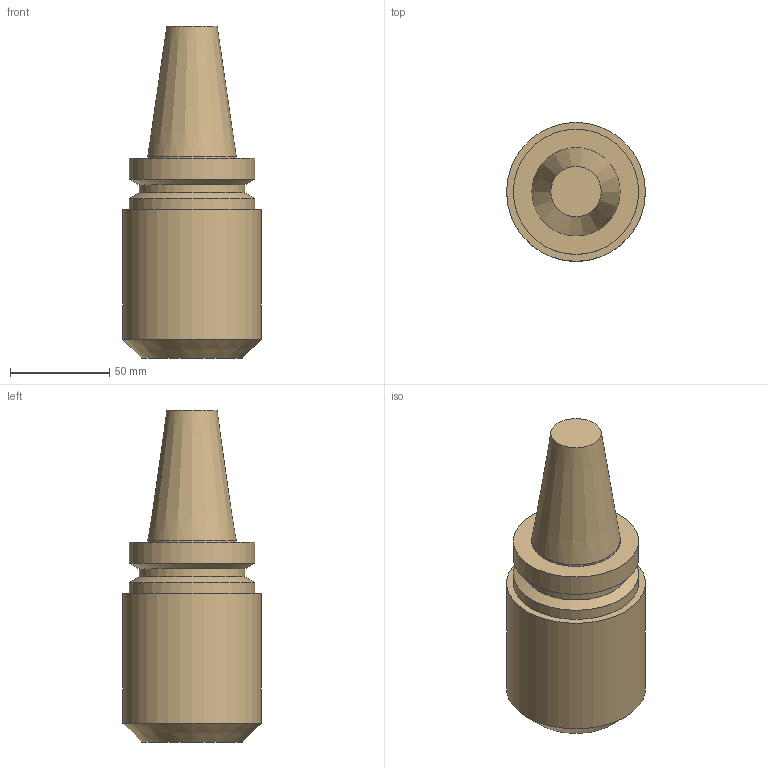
import cadquery as cq

gauge_diameter = 44.45
taper_length = 65.4
taper_ratio = 7 / 24
projection = 101.6

flange_diameter = 63.0
flange_gap = 1.0
flange_bottom_depth = 27.0
groove_diameter = 53.25
upper_rim_height = 10.6
lower_rim_height = 5.6
groove_floor_height = 4.15

body_diameter = 69.85
nose_chamfer = 9.5

gauge_radius = gauge_diameter / 2
small_end_radius = gauge_radius - taper_length * taper_ratio / 2
flange_radius = flange_diameter / 2
groove_radius = groove_diameter / 2
body_radius = body_diameter / 2
nose_radius = body_radius - nose_chamfer

flange_top = -flange_gap
groove_top = flange_top - upper_rim_height
flange_bottom = -flange_bottom_depth
groove_bottom = flange_bottom + lower_rim_height
groove_middle = (groove_top + groove_bottom) / 2
floor_top = groove_middle + groove_floor_height / 2
floor_bottom = groove_middle - groove_floor_height / 2
nose_face = -projection

half_section = [
    (0, taper_length),
    (small_end_radius, taper_length),
    (gauge_radius, 0),
    (gauge_radius, flange_top),
    (flange_radius, flange_top),
    (flange_radius, groove_top),
    (groove_radius, floor_top),
    (groove_radius, floor_bottom),
    (flange_radius, groove_bottom),
    (flange_radius, flange_bottom),
    (body_radius, flange_bottom),
    (body_radius, nose_face + nose_chamfer),
    (nose_radius, nose_face),
    (0, nose_face),
]

result = cq.Workplane("XZ").polyline(half_section).close().revolve(360, (0, 0, 0), (0, 1, 0))